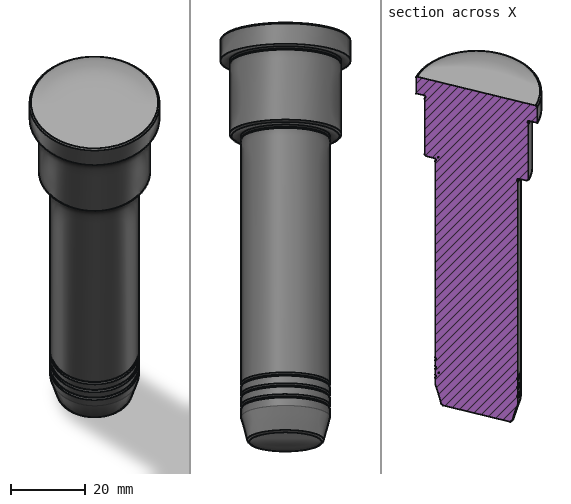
import cadquery as cq
import math

length = 112.0
head_radius = 17.5
head_height = 6.0
head_chamfer = 0.5
sleeve_radius = 15.0
sleeve_bottom_depth = 27.0
sleeve_chamfer = 0.6
shaft_radius = 12.0
taper_height = 7.0
taper_angle = 15.0
tip_chamfer = 0.6

groove_width = 1.0
groove_depth = 0.3
lowest_groove_z = 9.1
groove_pitch = 3.0
groove_count = 3

head_bottom_z = length - head_height
sleeve_bottom_z = length - sleeve_bottom_depth
tip_radius = shaft_radius - (taper_height - tip_chamfer) * math.tan(math.radians(taper_angle))


def cylinder(radius, bottom, top):
    return cq.Workplane("XY").workplane(offset=bottom).circle(radius).extrude(top - bottom)


def cut_groove(body, radius, bottom):
    """Cut a ring groove whose two sloped walls meet in a V."""
    profile = [
        (radius, bottom),
        (radius - groove_depth, bottom + groove_width / 2),
        (radius, bottom + groove_width),
    ]
    ring = cq.Workplane("XZ").polyline(profile).close().revolve(360, (0, 0, 0), (0, 1, 0))
    return body.cut(ring)


def make_shaft():
    """Shaft with a tapered, chamfered tip and a row of grooves above it."""
    profile = [
        (0, 0),
        (tip_radius - tip_chamfer, 0),
        (tip_radius, tip_chamfer),
        (shaft_radius, taper_height),
        (shaft_radius, sleeve_bottom_z),
        (0, sleeve_bottom_z),
    ]
    shaft = cq.Workplane("XZ").polyline(profile).close().revolve(360, (0, 0, 0), (0, 1, 0))
    for index in range(groove_count):
        shaft = cut_groove(shaft, shaft_radius, lowest_groove_z + index * groove_pitch)
    return cut_groove(shaft, shaft_radius, sleeve_bottom_z - groove_width)


def make_sleeve():
    """Thicker collar with a chamfered lower edge and a relief groove under the head."""
    sleeve = cylinder(sleeve_radius, sleeve_bottom_z, head_bottom_z)
    sleeve = sleeve.faces("<Z").chamfer(sleeve_chamfer)
    return cut_groove(sleeve, sleeve_radius, head_bottom_z - groove_width)


def make_head():
    head = cylinder(head_radius, head_bottom_z, length)
    return head.faces(">Z").chamfer(head_chamfer)


result = make_shaft().union(make_sleeve()).union(make_head())